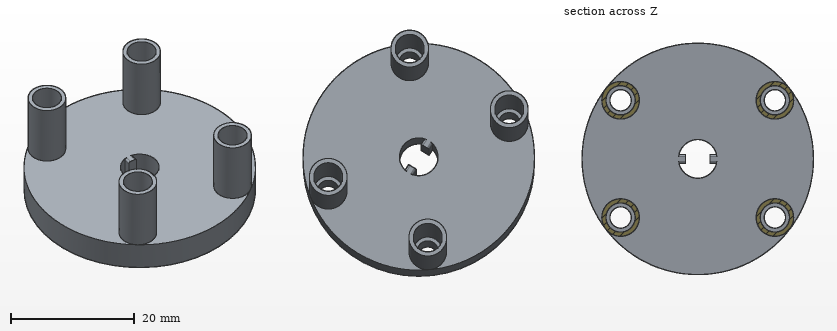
import cadquery as cq

disc_diameter = 37.5
disc_thickness = 5.0
overall_height = 16.0

post_spacing_x = 24.98
post_spacing_y = 18.98
post_diameter = 6.1
post_bore_diameter = 4.7
screw_hole_diameter = 3.4
post_height = overall_height - disc_thickness

center_hole_diameter = 6.22
key_gap = 3.9
key_width = 1.5
key_fillet = 0.35


def make_disc():
    """Base disc with its central hole, standing on Z = 0."""
    disc = cq.Workplane("XY").circle(disc_diameter / 2).circle(center_hole_diameter / 2)
    return disc.extrude(disc_thickness)


def make_key(side):
    """Full-height key on the +X (side=1) or -X (side=-1) wall of the central hole."""
    inner_x = key_gap / 2
    outer_x = center_hole_diameter / 2 + key_width
    key = (
        cq.Workplane("XY")
        .box(outer_x - inner_x, key_width, disc_thickness, centered=(True, True, False))
        .edges("|X and >Z")
        .fillet(key_fillet)
        .translate((side * (inner_x + outer_x) / 2, 0, 0))
    )
    return key


def at_posts(height):
    """Workplane at the given height with a point on every post axis."""
    return cq.Workplane("XY").workplane(offset=height).rarray(post_spacing_x, post_spacing_y, 2, 2)


result = make_disc()
for key_side in (-1, 1):
    result = result.union(make_key(key_side))

posts = at_posts(disc_thickness).circle(post_diameter / 2).circle(post_bore_diameter / 2).extrude(post_height)
screw_holes = at_posts(0).circle(screw_hole_diameter / 2).extrude(disc_thickness)
result = result.union(posts).cut(screw_holes)